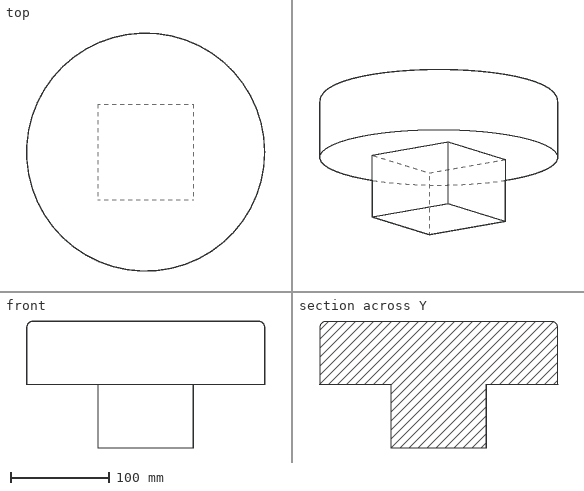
import cadquery as cq

head_diameter = 242.0
total_height = 129.0
head_height = total_height / 2
stem_height = total_height - head_height
stem_width = 96.8
rim_radius = 6.5

head = (
    cq.Workplane("XY")
    .circle(head_diameter / 2)
    .extrude(head_height)
    .faces(">Z")
    .edges()
    .fillet(rim_radius)
)

stem = cq.Workplane("XY").rect(stem_width, stem_width).extrude(-stem_height)

result = head.union(stem)